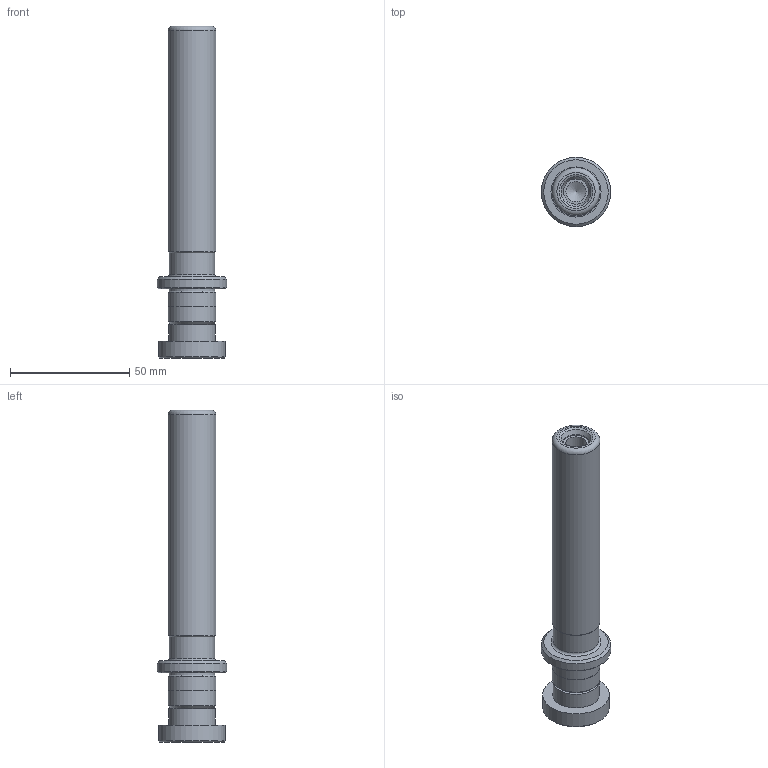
import cadquery as cq
import math

disc_radius = 28.0 / 2
disc_thickness = 7.0
disc_chamfer = 0.5
hub_radius = 19.5 / 2
hub_height = 7.0

pin_bottom = disc_thickness + hub_height
pin_radius = 20.0 / 2
pin_bottom_chamfer = 1.25

lower_fit_radius = 19.9 / 2
lower_fit_top = pin_bottom + 7.5

collar_radius = 29.0 / 2
collar_bottom = pin_bottom + 15.0
collar_thickness = 5.0
collar_top = collar_bottom + collar_thickness
collar_top_chamfer = 1.0
collar_bottom_chamfer = 0.5

relief_radius = 19.0 / 2
relief_runout = pin_radius - relief_radius
lower_relief_bottom = collar_bottom - 1.0
upper_relief_top = collar_top + 10.0
relief_fillet = 1.0

guide_length = 105.0
pin_top = collar_top + guide_length
tip_fillet = 2.0

mouth_radius = 7.1
mouth_depth = 0.5
cone_radius = 6.25
cone_depth = 1.9
seat_radius = 5.25
seat_wall_depth = 0.5
bore_radius = 8.5 / 2
bore_depth = 25.0
drill_half_angle = 59.0
drill_point_depth = bore_radius / math.tan(math.radians(drill_half_angle))


def revolve_outline(outline):
    """Close a radius-height outline and revolve it about the Z axis."""
    return outline.close().revolve(360, (0, 0, 0), (0, 1, 0))


def arc_point(center_r, center_z, radius, angle):
    """Point on an arc at the given angle, in the radius-height plane."""
    turn = math.radians(angle)
    return (center_r + radius * math.cos(turn), center_z + radius * math.sin(turn))


def add_fitting_length(outline):
    """From the chamfered bottom edge up through the lower relief groove."""
    return (
        outline.lineTo(lower_fit_radius - pin_bottom_chamfer, pin_bottom)
        .lineTo(lower_fit_radius, pin_bottom + pin_bottom_chamfer)
        .lineTo(lower_fit_radius, lower_fit_top)
        .lineTo(pin_radius, lower_fit_top)
        .lineTo(pin_radius, lower_relief_bottom - relief_runout)
        .lineTo(relief_radius, lower_relief_bottom)
        .lineTo(relief_radius, collar_bottom)
    )


def add_collar(outline):
    """Collar, chamfered on both rims."""
    return (
        outline.lineTo(collar_radius - collar_bottom_chamfer, collar_bottom)
        .lineTo(collar_radius, collar_bottom + collar_bottom_chamfer)
        .lineTo(collar_radius, collar_top - collar_top_chamfer)
        .lineTo(collar_radius - collar_top_chamfer, collar_top)
    )


def add_guiding_length(outline):
    """Upper relief groove with a filleted root, then the shaft and its rounded tip."""
    root_center = (relief_radius + relief_fillet, collar_top + relief_fillet)
    tip_center = (pin_radius - tip_fillet, pin_top - tip_fillet)
    return (
        outline.lineTo(root_center[0], collar_top)
        .threePointArc(arc_point(*root_center, relief_fillet, 225), (relief_radius, root_center[1]))
        .lineTo(relief_radius, upper_relief_top)
        .lineTo(pin_radius, upper_relief_top + relief_runout)
        .lineTo(pin_radius, tip_center[1])
        .threePointArc(arc_point(*tip_center, tip_fillet, 45), (tip_center[0], pin_top))
    )


def add_centre_hole(outline):
    """Shallow mouth, cone, flat seat and bore with a drill point on the axis."""
    cone_top = pin_top - mouth_depth
    cone_end = cone_top - cone_depth
    seat_height = cone_end - seat_wall_depth
    bore_end = seat_height - bore_depth
    return (
        outline.lineTo(mouth_radius, pin_top)
        .lineTo(cone_radius, cone_top)
        .lineTo(seat_radius, cone_end)
        .lineTo(seat_radius, seat_height)
        .lineTo(bore_radius, seat_height)
        .lineTo(bore_radius, bore_end)
        .lineTo(0, bore_end - drill_point_depth)
    )


def make_guide_pin():
    outline = cq.Workplane("XZ").moveTo(0, pin_bottom)
    outline = add_fitting_length(outline)
    outline = add_collar(outline)
    outline = add_guiding_length(outline)
    outline = add_centre_hole(outline)
    return revolve_outline(outline)


def make_retaining_disc():
    outline = (
        cq.Workplane("XZ")
        .moveTo(0, 0)
        .lineTo(disc_radius - disc_chamfer, 0)
        .lineTo(disc_radius, disc_chamfer)
        .lineTo(disc_radius, disc_thickness)
        .lineTo(hub_radius, disc_thickness)
        .lineTo(hub_radius, pin_bottom)
        .lineTo(0, pin_bottom)
    )
    return revolve_outline(outline)


guide_pin = make_guide_pin()
retaining_disc = make_retaining_disc()

result = cq.Compound.makeCompound([guide_pin.val(), retaining_disc.val()])